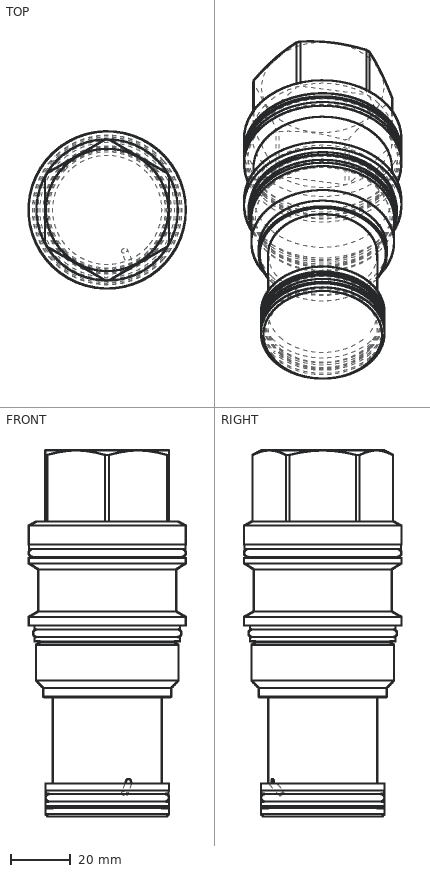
import cadquery as cq
import math


SLEEVE_CHAMFER = 0.9
LOWER_SLOT_BOTTOM = 2.8
LOWER_SLOT_TOP = 3.5
FOOT_RING_BOTTOM = 5.0
FOOT_RING_TOP = 7.6
FOOT_BACKUP_TOP = 8.7
FOOT_TOP = 11.1
SPLIT_LEVEL = 39.7
NOSE_TOP = 42.9
BARREL_BOTTOM = 45.5
BARREL_TOP = 57.3
BARREL_BEVEL_TOP = 58.0
WAIST_SLOT_TOP = 58.4
MIDDLE_RING_BOTTOM = 59.9
MIDDLE_RING_TOP = 62.5
FLANGE_BOTTOM = 63.7
FLANGE_TOP = 66.6
NECK_BOTTOM = 68.4
NECK_TOP = 82.5
COLLAR_BOTTOM = 84.5
COLLAR_GROOVE_BOTTOM = 86.3
COLLAR_RING_BOTTOM = 86.6
COLLAR_RING_TOP = 89.2
COLLAR_BACKUP_TOP = 90.7
COLLAR_TOP = 97.0
HEAD_BOTTOM = 98.5
TOTAL_HEIGHT = 122.2

FLANGE_RADIUS = 26.3
COLLAR_FACE_RADIUS = 23.6
NECK_RADIUS = 23.1
MIDDLE_LAND_RADIUS = 24.3
MIDDLE_RING_RADIUS = 24.8
BARREL_RADIUS = 23.8
WAIST_SLOT_RADIUS = 22.5
NOSE_RADIUS = 21.4
NOSE_CHAMFER = 0.4
STEM_RADIUS = 18.2
FOOT_RADIUS = 20.7
BACKUP_STEP = 0.1

HEX_ACROSS_FLATS = 41.3
HEX_CORNER_RADIUS = 23.5
HEX_FACE_RADIUS = 20.4
HEX_CHAMFER_HEIGHT = 1.6

HOLE_DIAMETER = 2.1
HOLE_ANGLE = -67.0
HOLE_TILT = 45.0
HOLE_DEPTH = 4.9
DRILL_RUN_IN = 3.7


def ring_core_radius(bottom, top, outer_radius):
    """Radius of the centre circle of an O-ring filling the levels bottom to top."""
    return outer_radius - (top - bottom) / 2


def add_o_ring(profile, bottom, top, outer_radius):
    """Continue a profile upward along the outer half of an O-ring section."""
    core_radius = ring_core_radius(bottom, top, outer_radius)
    middle = (bottom + top) / 2
    return (
        profile.lineTo(core_radius, bottom)
        .threePointArc((outer_radius, middle), (core_radius, top))
    )


def turn(profile):
    """Revolve a closed half section in the XZ plane about the Z axis."""
    return profile.close().revolve(360, (0, 0, 0), (0, 1, 0))


def make_oblique_hole():
    """Tilted drill whose axis passes through the stem-to-foot corner."""
    around = math.radians(HOLE_ANGLE)
    tilt = math.radians(HOLE_TILT)
    corner = cq.Vector(STEM_RADIUS * math.cos(around), STEM_RADIUS * math.sin(around), FOOT_TOP)
    inward = cq.Vector(
        -math.cos(tilt) * math.cos(around),
        -math.cos(tilt) * math.sin(around),
        -math.sin(tilt),
    )
    start = corner - inward * DRILL_RUN_IN
    return cq.Solid.makeCylinder(HOLE_DIAMETER / 2, DRILL_RUN_IN + HOLE_DEPTH, start, inward)


def make_sleeve():
    """Lower sleeve: grooved foot with an O-ring, and a plain stem."""
    backup_radius = FOOT_RADIUS - BACKUP_STEP
    profile = (
        cq.Workplane("XZ")
        .moveTo(0, 0)
        .lineTo(FOOT_RADIUS - SLEEVE_CHAMFER, 0)
        .lineTo(FOOT_RADIUS, SLEEVE_CHAMFER)
        .lineTo(FOOT_RADIUS, LOWER_SLOT_BOTTOM)
        .lineTo(STEM_RADIUS, LOWER_SLOT_BOTTOM)
        .lineTo(STEM_RADIUS, LOWER_SLOT_TOP)
        .lineTo(FOOT_RADIUS, LOWER_SLOT_TOP)
        .lineTo(FOOT_RADIUS, FOOT_RING_BOTTOM)
    )
    profile = add_o_ring(profile, FOOT_RING_BOTTOM, FOOT_RING_TOP, FOOT_RADIUS)
    profile = (
        profile.lineTo(backup_radius, FOOT_RING_TOP)
        .lineTo(backup_radius, FOOT_BACKUP_TOP)
        .lineTo(FOOT_RADIUS, FOOT_BACKUP_TOP)
        .lineTo(FOOT_RADIUS, FOOT_TOP)
        .lineTo(STEM_RADIUS, FOOT_TOP)
        .lineTo(STEM_RADIUS, SPLIT_LEVEL)
        .lineTo(0, SPLIT_LEVEL)
    )
    return turn(profile).cut(cq.Workplane(make_oblique_hole()))


def make_hex_head():
    """Hex with corners on +Y and -Y, its edges turned down and its top chamfered."""
    height = TOTAL_HEIGHT - HEAD_BOTTOM
    corner_diameter = HEX_ACROSS_FLATS / math.cos(math.radians(30))
    hexagon = (
        cq.Workplane("XY")
        .polygon(6, corner_diameter)
        .extrude(height)
        .rotate((0, 0, 0), (0, 0, 1), 90)
        .translate((0, 0, HEAD_BOTTOM))
    )
    envelope = turn(
        cq.Workplane("XZ")
        .moveTo(0, HEAD_BOTTOM)
        .lineTo(HEX_CORNER_RADIUS, HEAD_BOTTOM)
        .lineTo(HEX_CORNER_RADIUS, TOTAL_HEIGHT - HEX_CHAMFER_HEIGHT)
        .lineTo(HEX_FACE_RADIUS, TOTAL_HEIGHT)
        .lineTo(0, TOTAL_HEIGHT)
    )
    return hexagon.intersect(envelope)


def make_plug():
    """Upper plug: nose, barrel, flange, neck and collar with two O-rings, under a hex head."""
    backup_radius = FLANGE_RADIUS - BACKUP_STEP
    collar_core_radius = ring_core_radius(COLLAR_RING_BOTTOM, COLLAR_RING_TOP, FLANGE_RADIUS)
    profile = (
        cq.Workplane("XZ")
        .moveTo(0, SPLIT_LEVEL)
        .lineTo(NOSE_RADIUS - NOSE_CHAMFER, SPLIT_LEVEL)
        .lineTo(NOSE_RADIUS, SPLIT_LEVEL + NOSE_CHAMFER)
        .lineTo(NOSE_RADIUS, NOSE_TOP)
        .lineTo(BARREL_RADIUS, BARREL_BOTTOM)
        .lineTo(BARREL_RADIUS, BARREL_TOP)
        .lineTo(WAIST_SLOT_RADIUS, BARREL_BEVEL_TOP)
        .lineTo(WAIST_SLOT_RADIUS, WAIST_SLOT_TOP)
        .lineTo(MIDDLE_LAND_RADIUS, WAIST_SLOT_TOP)
        .lineTo(MIDDLE_LAND_RADIUS, MIDDLE_RING_BOTTOM)
    )
    profile = add_o_ring(profile, MIDDLE_RING_BOTTOM, MIDDLE_RING_TOP, MIDDLE_RING_RADIUS)
    profile = (
        profile.lineTo(MIDDLE_LAND_RADIUS, MIDDLE_RING_TOP)
        .lineTo(MIDDLE_LAND_RADIUS, FLANGE_BOTTOM)
        .lineTo(FLANGE_RADIUS, FLANGE_BOTTOM)
        .lineTo(FLANGE_RADIUS, FLANGE_TOP)
        .lineTo(NECK_RADIUS, NECK_BOTTOM)
        .lineTo(NECK_RADIUS, NECK_TOP)
        .lineTo(FLANGE_RADIUS, COLLAR_BOTTOM)
        .lineTo(FLANGE_RADIUS, COLLAR_GROOVE_BOTTOM)
        .lineTo(collar_core_radius, COLLAR_GROOVE_BOTTOM)
    )
    profile = add_o_ring(profile, COLLAR_RING_BOTTOM, COLLAR_RING_TOP, FLANGE_RADIUS)
    profile = (
        profile.lineTo(backup_radius, COLLAR_RING_TOP)
        .lineTo(backup_radius, COLLAR_BACKUP_TOP)
        .lineTo(FLANGE_RADIUS, COLLAR_BACKUP_TOP)
        .lineTo(FLANGE_RADIUS, COLLAR_TOP)
        .lineTo(COLLAR_FACE_RADIUS, HEAD_BOTTOM)
        .lineTo(0, HEAD_BOTTOM)
    )
    return turn(profile).union(make_hex_head())


sleeve = make_sleeve()
plug = make_plug()
result = cq.Compound.makeCompound([sleeve.solids().val(), plug.solids().val()])